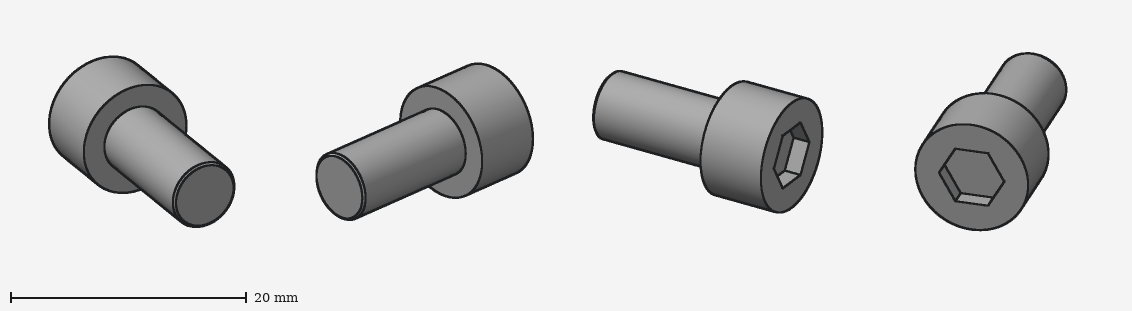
import cadquery as cq
import math

total_length = 18.0
shank_diameter = total_length / 3
head_height = shank_diameter
head_diameter = 10.0
tip_chamfer = 0.2
socket_across_flats = head_diameter / 2
socket_depth = 1.57

head = cq.Workplane("YZ").circle(head_diameter / 2).extrude(head_height)

shank = (
    cq.Workplane("YZ", origin=(head_height, 0, 0))
    .circle(shank_diameter / 2)
    .extrude(total_length - head_height)
    .faces(">X")
    .chamfer(tip_chamfer)
)

socket_across_corners = socket_across_flats / math.cos(math.pi / 6)
socket = cq.Workplane("YZ").polygon(6, socket_across_corners).extrude(socket_depth)

result = head.union(shank).cut(socket)